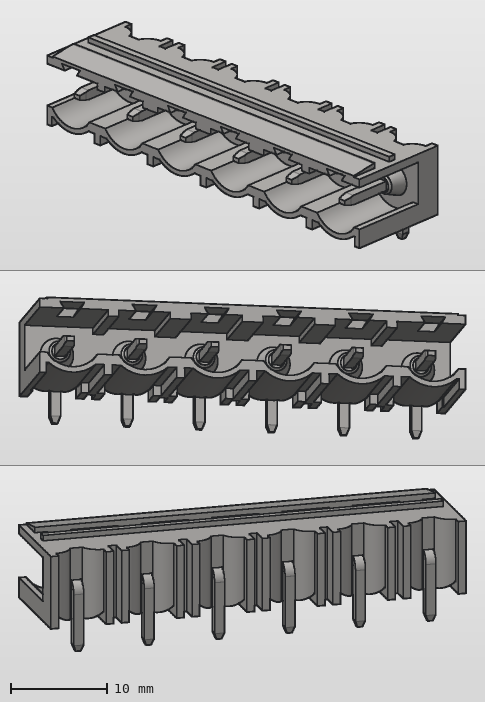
import cadquery as cq
import math


length = 44.9
poles = 6
end_margin = 3.4
pitch = (length - 2 * end_margin) / (poles - 1)
pole_xs = [(i - (poles - 1) / 2) * pitch for i in range(poles)]
gap_xs = [x + pitch / 2 for x in pole_xs[:-1]]

depth = 11.75
height = 7.85
pocket_depth = 8.8
floor_z = 2.15
ceiling_z = 6.9
axis_z = 3.9

trough_radius = 3.2
barrel_radius = 3.75
underside_z = 1.1
recess_width = 5.1
foot_width = pitch - recess_width
web_width = 0.85
slot_depth = 2.0
end_web_width = 0.67

rear_step = 0.95
bulge_radius = depth - rear_step - pocket_depth
recess_depth = 2.3

key_width = 2.2
key_height = 0.67

rail_height = 0.6
rail_inset = 0.8
lug_depth = 3.15
lug_land = 0.2
lug_front_height = 0.15
ridge_front = 5.3
ridge_width = 0.85

window_depth = 4.1
window_top_width = 2.55
window_bottom_width = 1.75
window_roof = 0.25

collar_base_radius = 1.75
collar_rim_radius = 1.12
collar_tip_radius = 0.85
collar_length = 1.8
collar_bevel = 0.22

pin_width = 1.1
pin_half = pin_width / 2
blade_tip_y = 0.95
blade_taper_z = 1.15
blade_taper_x = 0.7
blade_tip_height = 0.5
blade_tip_width = 0.8
tail_front = depth - recess_depth
tail_thickness = 0.95
tail_back = tail_front + tail_thickness
tail_tip_z = -3.15
tail_taper = 0.7
tail_tip_width = 0.55
bend_radius = 1.35


def block(x0, x1, y0, y1, z0, z1):
    """Box between two opposite corners."""
    return cq.Workplane("XY").box(x1 - x0, y1 - y0, z1 - z0, centered=False).translate((x0, y0, z0))


def centred_block(x, width, y0, y1, z0, z1):
    """Box centred on x."""
    return block(x - width / 2, x + width / 2, y0, y1, z0, z1)


def axis_cylinder(x, radius, y_end):
    """Cylinder on a pole axis, from the mating face back to y_end."""
    return cq.Workplane("XZ").center(x, axis_z).circle(radius).extrude(-y_end)


def cavity():
    """Mating pocket, open at both ends, with a trough in its floor at each pole."""
    space = block(-length / 2, length / 2, 0, pocket_depth, floor_z, ceiling_z)
    for x in pole_xs:
        lower_half = centred_block(x, 2 * trough_radius, 0, pocket_depth, 0, axis_z)
        space = space.union(axis_cylinder(x, trough_radius, pocket_depth).intersect(lower_half))
    return space


def underside_relief(x):
    """Space between two feet, below the round barrel of a pole."""
    space = centred_block(x, recess_width, 0, depth, 0, underside_z)
    return space.cut(axis_cylinder(x, barrel_radius, depth))


def foot_relief(x):
    """Space either side of a foot's web below the cavity, and the slot in the foot's rear end."""
    beside_web = centred_block(x, foot_width, 0, pocket_depth, 0, underside_z)
    beside_web = beside_web.cut(centred_block(x, web_width, 0, pocket_depth, 0, underside_z))
    return beside_web.union(centred_block(x, web_width, depth - slot_depth, depth, 0, height))


def end_foot_relief(end):
    """Space beside the web of an end foot; end is -1 or 1."""
    foot_inner = pole_xs[-1] + recess_width / 2
    web_inner = length / 2 - end_web_width
    xs = sorted([end * foot_inner, end * web_inner])
    return block(*xs, 0, pocket_depth, 0, underside_z)


def rear_recess(x):
    """Full-height recess behind a pole, flanked by two rounded bulges."""
    half = recess_width / 2
    step_y = depth - rear_step
    flat_y = depth - recess_depth
    bulge_reach = math.sqrt(bulge_radius**2 - (flat_y - pocket_depth) ** 2)
    flat_half = half - bulge_reach
    mid_x = half - bulge_radius * math.sin(math.pi / 6)
    mid_y = pocket_depth + bulge_radius * math.cos(math.pi / 6)
    return (
        cq.Workplane("XY")
        .moveTo(x - half, depth)
        .lineTo(x - half, step_y)
        .threePointArc((x - mid_x, mid_y), (x - flat_half, flat_y))
        .lineTo(x + flat_half, flat_y)
        .threePointArc((x + mid_x, mid_y), (x + half, step_y))
        .lineTo(x + half, depth)
        .close()
        .extrude(height)
    )


def key(gap):
    """Coding key under the ceiling; the keys in the two end gaps keep only their inner half."""
    x = gap_xs[gap]
    left = x if gap == 0 else x - key_width / 2
    right = x if gap == len(gap_xs) - 1 else x + key_width / 2
    return block(left, right, 0, pocket_depth, ceiling_z - key_height, ceiling_z)


def lug():
    """Latching lug along the mating edge, sloping down to the front."""
    top = height + rail_height
    profile = [
        (0, height),
        (lug_depth, height),
        (lug_depth, top),
        (lug_depth - lug_land, top),
        (0, height + lug_front_height),
    ]
    half = length / 2 - rail_inset
    return cq.Workplane("YZ").polyline(profile).close().extrude(half, both=True)


def ridge():
    """Straight ridge behind the lug."""
    return centred_block(
        0, length - 2 * rail_inset, ridge_front, ridge_front + ridge_width, height, height + rail_height
    )


def window(x):
    """Tapered window through the top wall: roofed below the lug, open to the top behind it."""
    roof_z = height - window_roof
    profile = [
        (x - window_bottom_width / 2, ceiling_z),
        (x + window_bottom_width / 2, ceiling_z),
        (x + window_top_width / 2, roof_z),
        (x - window_top_width / 2, roof_z),
    ]
    tunnel = cq.Workplane("XZ").polyline(profile).close().extrude(-window_depth)
    return tunnel.union(centred_block(x, window_top_width, lug_depth, window_depth, roof_z, height))


def collar(x):
    """Conical collar with a bevelled rim, standing on the cavity's rear wall."""
    tip_y = pocket_depth - collar_length
    profile = [
        (0, pocket_depth),
        (collar_base_radius, pocket_depth),
        (collar_rim_radius, tip_y + collar_bevel),
        (collar_tip_radius, tip_y),
        (0, tip_y),
    ]
    cone = cq.Workplane("XY").polyline(profile).close().revolve(360, (0, 0, 0), (0, 1, 0))
    return cone.translate((x, 0, axis_z))


def make_housing(pins):
    """Housing with a hole that matches each pin."""
    body = block(-length / 2, length / 2, 0, depth, 0, height).cut(cavity())
    for gap, x in enumerate(gap_xs):
        body = body.cut(foot_relief(x)).union(key(gap))
    for end in (-1, 1):
        body = body.cut(end_foot_relief(end))
    body = body.union(lug()).union(ridge())
    for x, pin in zip(pole_xs, pins):
        body = body.cut(underside_relief(x)).cut(rear_recess(x)).cut(window(x))
        body = body.union(collar(x)).cut(pin)
    return body


def make_pin(x):
    """Angled pin: a tapered blade along Y and a tapered tail down Z, joined by a rounded bend."""
    blade_top = axis_z + pin_half
    blade_bottom = axis_z - pin_half
    tail_y = tail_front + tail_thickness / 2
    tail_shoulder_z = tail_tip_z + tail_taper
    bend_offset = bend_radius * (1 - math.sqrt(0.5))
    bend_middle = (tail_back - bend_offset, blade_top - bend_offset)

    side = (
        cq.Workplane("YZ")
        .moveTo(blade_tip_y, axis_z - blade_tip_height / 2)
        .lineTo(blade_tip_y, axis_z + blade_tip_height / 2)
        .lineTo(blade_tip_y + blade_taper_z, blade_top)
        .lineTo(tail_back - bend_radius, blade_top)
        .threePointArc(bend_middle, (tail_back, blade_top - bend_radius))
        .lineTo(tail_back, tail_shoulder_z)
        .lineTo(tail_y + tail_tip_width / 2, tail_tip_z)
        .lineTo(tail_y - tail_tip_width / 2, tail_tip_z)
        .lineTo(tail_front, tail_shoulder_z)
        .lineTo(tail_front, blade_bottom)
        .lineTo(blade_tip_y + blade_taper_z, blade_bottom)
        .close()
        .extrude(pin_half, both=True)
    )
    blade_plan = (
        cq.Workplane("XY", origin=(0, 0, tail_tip_z))
        .polyline([
            (-blade_tip_width / 2, blade_tip_y),
            (blade_tip_width / 2, blade_tip_y),
            (pin_half, blade_tip_y + blade_taper_x),
            (pin_half, tail_back),
            (-pin_half, tail_back),
            (-pin_half, blade_tip_y + blade_taper_x),
        ])
        .close()
        .extrude(blade_top - tail_tip_z)
    )
    tail_front_outline = (
        cq.Workplane("XZ")
        .polyline([
            (-tail_tip_width / 2, tail_tip_z),
            (tail_tip_width / 2, tail_tip_z),
            (pin_half, tail_shoulder_z),
            (pin_half, blade_top),
            (-pin_half, blade_top),
            (-pin_half, tail_shoulder_z),
        ])
        .close()
        .extrude(-tail_back)
    )
    return side.intersect(blade_plan).intersect(tail_front_outline).translate((x, 0, 0))


pins = [make_pin(x) for x in pole_xs]
housing = make_housing(pins)

result = cq.Compound.makeCompound([housing.solids().val(), *[pin.solids().val() for pin in pins]])